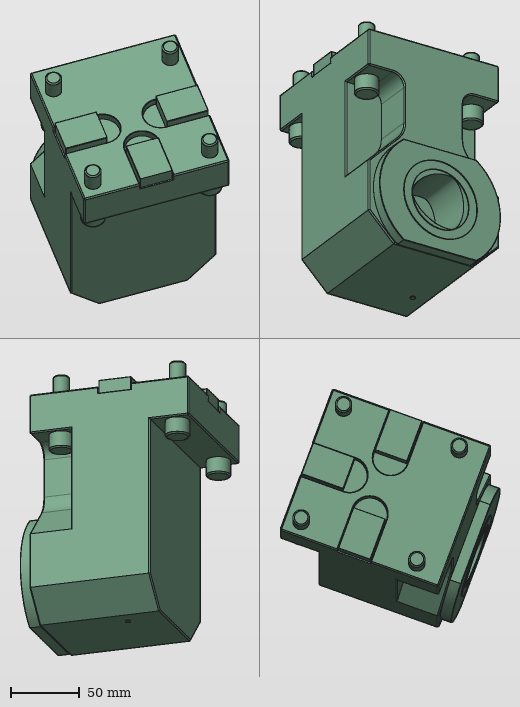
import cadquery as cq
import math

WIDTH = 112.0
HALF_WIDTH = WIDTH / 2
COLUMN_LENGTH = 93.3
PLATE_LENGTH = 123.2
TOP_HEIGHT = 171.5
PLATE_THICKNESS = 30.0
PLATE_UNDERSIDE = TOP_HEIGHT - PLATE_THICKNESS
LOWER_CHAMFER = 22.0
EDGE_CHAMFER = 1.0

POCKET_DEPTH = 32.0
NECK_HALF_WIDTH = 25.3
POCKET_BOTTOM = 63.5
POCKET_TOP_RADIUS = 10.1
POCKET_LOWER_RADIUS = 20.0
POCKET_OVERRUN = 1.9

SPINDLE_HEIGHT = 41.5
FLANGE_THICKNESS = 8.6
FLANGE_DIAMETER = 104.1
FLANGE_CHAMFER = 0.4
RING_OUTER_DIAMETER = 63.0
RING_INNER_DIAMETER = 48.5
RING_HEIGHT = 0.7

SOCKET_DIAMETER = 44.0
SOCKET_LOBE = 1.9
SOCKET_DEPTH = 37.5
SOCKET_TAPER = 1 / 20
SOCKET_POINTS = 48

BOLT_SPACING = 89.9
FRONT_BOLT_X = 20.8
BOLT_CENTER_X = FRONT_BOLT_X + BOLT_SPACING / 2
BOLT_DIAMETER = 12.0
BOLT_TOP = 186.5
BOLT_HEAD_DIAMETER = 18.0
BOLT_HEAD_BOTTOM = 129.2
BOLT_CHAMFER = 1.1

KEY_WIDTH = 25.0
KEY_CHAMFER = 0.4
KEY_LENGTH = 31.8
KEY_INSET = 1.1
KEY_TOP = 176.5
SLOT_WIDTH = 26.2
SLOT_LENGTH = 46.8
SLOT_DEPTH = 5.2
SLOT_RIM_CHAMFER = 0.4
SLOT_FOOT_TAPER = 0.28
SLOT_FOOT_HEIGHT = 1.3
SLOT_OVERRUN = 1.9
SLOT_FLOOR = TOP_HEIGHT - SLOT_DEPTH

PLUG_DIAMETER = 4.0
PLUG_HEIGHT = 0.7
PLUG_X = 64.2
PLUG_Y = -22.0


def pocket(side):
    """Pocket beside the neck: rounded top corner, 45 degree floor; side is +1 or -1 along Y."""
    cos45 = math.cos(math.pi / 4)
    top_arc_z = PLATE_UNDERSIDE - POCKET_TOP_RADIUS
    slope_start_y = NECK_HALF_WIDTH + POCKET_LOWER_RADIUS * (1 - cos45)
    slope_start_z = POCKET_BOTTOM + HALF_WIDTH - slope_start_y
    lower_arc_z = slope_start_z + POCKET_LOWER_RADIUS * cos45
    outside_y = HALF_WIDTH + POCKET_OVERRUN
    mid_lower_arc = math.pi / 8
    outline = (
        cq.Workplane("YZ")
        .moveTo(side * outside_y, PLATE_UNDERSIDE)
        .lineTo(side * (NECK_HALF_WIDTH + POCKET_TOP_RADIUS), PLATE_UNDERSIDE)
        .threePointArc(
            (
                side * (NECK_HALF_WIDTH + POCKET_TOP_RADIUS * (1 - cos45)),
                top_arc_z + POCKET_TOP_RADIUS * cos45,
            ),
            (side * NECK_HALF_WIDTH, top_arc_z),
        )
        .lineTo(side * NECK_HALF_WIDTH, lower_arc_z)
        .threePointArc(
            (
                side * (NECK_HALF_WIDTH + POCKET_LOWER_RADIUS * (1 - math.cos(mid_lower_arc))),
                lower_arc_z - POCKET_LOWER_RADIUS * math.sin(mid_lower_arc),
            ),
            (side * slope_start_y, slope_start_z),
        )
        .lineTo(side * outside_y, POCKET_BOTTOM - POCKET_OVERRUN)
        .close()
    )
    return outline.extrude(POCKET_DEPTH)


def housing():
    """Mounting plate over a column with sloped lower corners, both broken along the outer edges."""
    plate = (
        cq.Workplane("XY", origin=(0, 0, PLATE_UNDERSIDE))
        .box(PLATE_LENGTH, WIDTH, PLATE_THICKNESS, centered=(False, True, False))
    )
    column = (
        cq.Workplane("XY")
        .box(COLUMN_LENGTH, WIDTH, PLATE_UNDERSIDE, centered=(False, True, False))
        .edges("|X and <Z")
        .chamfer(LOWER_CHAMFER)
    )
    body = plate.union(column)
    for side in (1, -1):
        body = body.cut(pocket(side))
    upright_faces = body.faces("|X")
    undersides = body.faces("-Z").faces("not <Z")
    broken_edges = (
        upright_faces.faces("<X or >X").edges()
        .add(upright_faces.faces(">X[-2]").edges("not >Z"))
        .add(upright_faces.faces("<X[-2]").edges(">Y or <Y"))
        .add(undersides.edges("|X").edges(">Y or <Y"))
        .add(body.faces(">Z").edges("|X"))
    )
    return body.newObject(broken_edges.vals()).chamfer(EDGE_CHAMFER)


def spindle_flange():
    """Round flange with flats above and below, carrying a thin raised ring."""
    flange = (
        cq.Workplane("YZ", origin=(0, 0, SPINDLE_HEIGHT))
        .circle(FLANGE_DIAMETER / 2)
        .extrude(-FLANGE_THICKNESS)
    )
    between_flats = (
        cq.Workplane("XY", origin=(0, 0, SPINDLE_HEIGHT))
        .box(2 * FLANGE_THICKNESS, FLANGE_DIAMETER, 2 * SPINDLE_HEIGHT)
    )
    ring = (
        cq.Workplane("YZ", origin=(-FLANGE_THICKNESS, 0, SPINDLE_HEIGHT))
        .circle(RING_OUTER_DIAMETER / 2)
        .circle(RING_INNER_DIAMETER / 2)
        .extrude(-RING_HEIGHT)
    )
    flange = flange.intersect(between_flats).faces("<X").chamfer(FLANGE_CHAMFER)
    return flange.union(ring)


def socket_wire(x, diameter):
    """Constant-width three-lobed outline with one lobe toward +Y."""
    points = []
    for i in range(SOCKET_POINTS):
        angle = 2 * math.pi * i / SOCKET_POINTS
        reach = diameter / 2 + SOCKET_LOBE * math.cos(3 * angle)
        slope = -3 * SOCKET_LOBE * math.sin(3 * angle)
        y = reach * math.cos(angle) - slope * math.sin(angle)
        z = reach * math.sin(angle) + slope * math.cos(angle)
        points.append(cq.Vector(x, y, SPINDLE_HEIGHT + z))
    return cq.Wire.assembleEdges([cq.Edge.makeSpline(points, periodic=True)])


def socket():
    """Blind socket that narrows with depth."""
    mouth = socket_wire(-FLANGE_THICKNESS, SOCKET_DIAMETER)
    floor = socket_wire(
        SOCKET_DEPTH - FLANGE_THICKNESS, SOCKET_DIAMETER - SOCKET_DEPTH * SOCKET_TAPER
    )
    return cq.Workplane(cq.Solid.makeLoft([mouth, floor], True))


def bolt():
    """Bolt through the plate, head below, both ends chamfered."""
    shank = (
        cq.Workplane("XY", origin=(0, 0, PLATE_UNDERSIDE))
        .circle(BOLT_DIAMETER / 2)
        .extrude(BOLT_TOP - PLATE_UNDERSIDE)
        .faces(">Z").chamfer(BOLT_CHAMFER)
    )
    head = (
        cq.Workplane("XY", origin=(0, 0, BOLT_HEAD_BOTTOM))
        .circle(BOLT_HEAD_DIAMETER / 2)
        .extrude(PLATE_UNDERSIDE - BOLT_HEAD_BOTTOM)
        .faces("<Z").chamfer(BOLT_CHAMFER)
    )
    return shank.union(head)


def slot_outline(height, margin):
    """Round-ended outline widened by margin per side; its open end runs past the plate edge."""
    radius = SLOT_WIDTH / 2 + margin
    arc_center_x = SLOT_WIDTH / 2 - SLOT_LENGTH
    return (
        cq.Workplane("XY", origin=(0, 0, height))
        .moveTo(SLOT_OVERRUN, radius)
        .lineTo(arc_center_x, radius)
        .threePointArc((arc_center_x - radius, 0), (arc_center_x, -radius))
        .lineTo(SLOT_OVERRUN, -radius)
        .close()
    )


def tapered_layer(base, height, lower_margin, upper_margin):
    """Layer of the slot whose wall changes width evenly over its height."""
    lower = slot_outline(base, lower_margin).val()
    upper = slot_outline(base + height, upper_margin).val()
    return cq.Workplane(cq.Solid.makeLoft([lower, upper], True))


def slot():
    """Slot with its open end at the origin, running toward -X, with a bevelled rim and tapered foot."""
    rim_base = TOP_HEIGHT - SLOT_RIM_CHAMFER
    foot_top = SLOT_FLOOR + SLOT_FOOT_HEIGHT
    foot = tapered_layer(SLOT_FLOOR, SLOT_FOOT_HEIGHT, -SLOT_FOOT_TAPER, 0)
    wall = slot_outline(foot_top, 0).extrude(rim_base - foot_top)
    rim = tapered_layer(rim_base, SLOT_RIM_CHAMFER, 0, SLOT_RIM_CHAMFER)
    return foot.union(wall).union(rim)


def key():
    """Rectangular key set just inside the open end of its slot."""
    return (
        cq.Workplane("XY")
        .box(KEY_LENGTH, KEY_WIDTH, KEY_TOP - SLOT_FLOOR, centered=(False, True, False))
        .edges("|Z or (|X and >Z)")
        .chamfer(KEY_CHAMFER)
        .translate((-KEY_LENGTH - KEY_INSET, 0, SLOT_FLOOR))
    )


result = housing().union(spindle_flange()).cut(socket())

KEY_SITES = (
    (0, (PLATE_LENGTH, 0, 0)),
    (90, (BOLT_CENTER_X, HALF_WIDTH, 0)),
    (-90, (BOLT_CENTER_X, -HALF_WIDTH, 0)),
)


def placed(shape, turn, position):
    """Shape turned about the Z axis and then moved to position."""
    return shape.rotate((0, 0, 0), (0, 0, 1), turn).translate(position)


for turn, position in KEY_SITES:
    result = result.cut(placed(slot(), turn, position))
    result = result.union(placed(key(), turn, position))

for x in (FRONT_BOLT_X, FRONT_BOLT_X + BOLT_SPACING):
    for y in (-BOLT_SPACING / 2, BOLT_SPACING / 2):
        result = result.union(bolt().translate((x, y, 0)))

plug = (
    cq.Workplane("XY", origin=(PLUG_X, PLUG_Y, 0))
    .circle(PLUG_DIAMETER / 2)
    .extrude(-PLUG_HEIGHT)
)
result = result.union(plug)